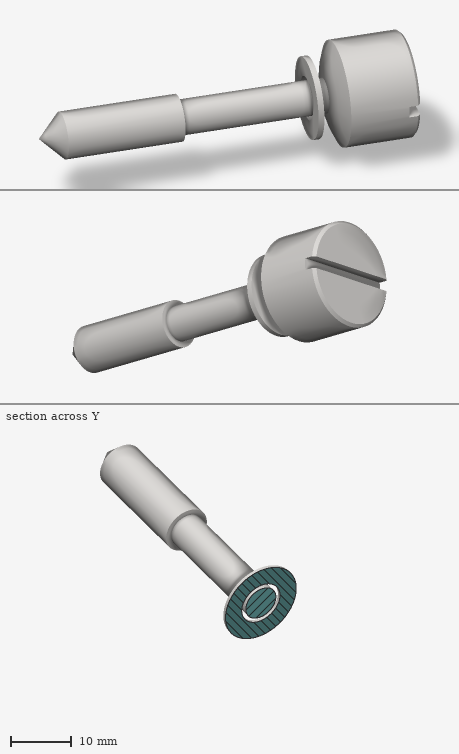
import cadquery as cq
import math

total_length = 63.0

head_diameter = 18.0
head_side_length = 12.0
dome_height = 2.0
head_chamfer = 0.5
slot_width = 2.0
slot_depth = 2.0

shank_diameter = 6.0
end_diameter = 8.0
end_length = 20.05
tip_length = end_diameter / 2

washer_outer_diameter = 14.0
washer_hole_diameter = 7.45
washer_thickness = 1.0
washer_gap = 2.0

dome_start_y = -head_side_length
dome_end_y = dome_start_y - dome_height
tip_start_y = -total_length + tip_length
end_start_y = tip_start_y + end_length
washer_y = dome_end_y - washer_gap


def dome_midpoint():
    """Point halfway along the dome arc, whose sphere centre lies on the axis."""
    outer = head_diameter / 2
    inner = shank_diameter / 2
    center_offset = (outer**2 - inner**2 - dome_height**2) / (2 * dome_height)
    radius = math.hypot(outer, center_offset)
    start_angle = math.atan2(outer, center_offset)
    end_angle = math.atan2(inner, center_offset + dome_height)
    angle = (start_angle + end_angle) / 2
    center_y = dome_start_y + center_offset
    return radius * math.sin(angle), center_y - radius * math.cos(angle)


def make_screw():
    """Revolved head, shank and tip, with a driver slot across the head."""
    head_radius = head_diameter / 2
    shank_radius = shank_diameter / 2
    end_radius = end_diameter / 2
    blank = (
        cq.Workplane("XY")
        .moveTo(0, 0)
        .lineTo(head_radius - head_chamfer, 0)
        .lineTo(head_radius, -head_chamfer)
        .lineTo(head_radius, dome_start_y)
        .threePointArc(dome_midpoint(), (shank_radius, dome_end_y))
        .lineTo(shank_radius, end_start_y)
        .lineTo(end_radius, end_start_y)
        .lineTo(end_radius, tip_start_y)
        .lineTo(0, -total_length)
        .close()
        .revolve(360, (0, 0, 0), (0, 1, 0))
    )
    slot = (
        cq.Workplane("XY")
        .box(head_diameter, slot_depth, slot_width)
        .translate((0, -slot_depth / 2, 0))
    )
    return blank.cut(slot)


def make_washer():
    """Flat ring with clearance around the shank."""
    return (
        cq.Workplane("XZ", origin=(0, washer_y, 0))
        .circle(washer_outer_diameter / 2)
        .circle(washer_hole_diameter / 2)
        .extrude(washer_thickness)
    )


screw = make_screw()
washer = make_washer()
result = cq.Compound.makeCompound([screw.val(), washer.val()])